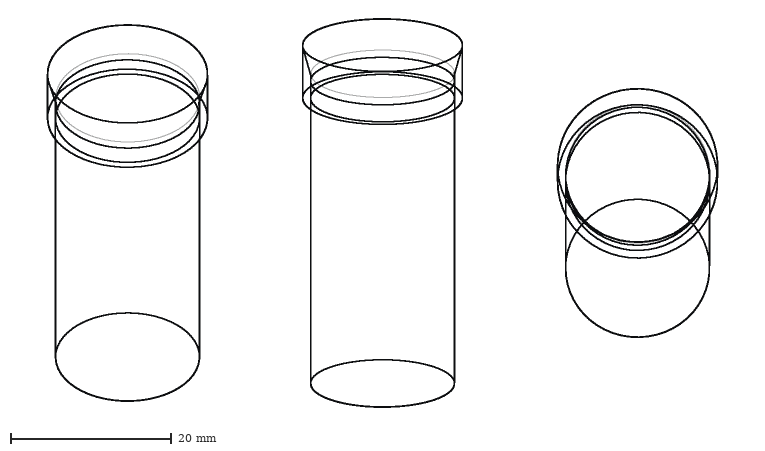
import cadquery as cq

rod_radius = 9.0
rod_length = 40.0

collar_radius = 10.0
collar_height = 7.0
total_height = 44.75
collar_bottom = total_height - collar_height

flare_depth = 3.75
flare_bottom = total_height - flare_depth


def make_rod():
    """Plain round rod standing on the XY plane."""
    return cq.Workplane("XY").circle(rod_radius).extrude(rod_length)


def make_collar():
    """Ring whose straight bore fits the rod, with a conical mouth above the bore."""
    profile = (
        cq.Workplane("XZ")
        .moveTo(rod_radius, collar_bottom)
        .lineTo(collar_radius, collar_bottom)
        .lineTo(collar_radius, total_height)
        .lineTo(rod_radius, flare_bottom)
        .close()
    )
    return profile.revolve(360, (0, 0, 0), (0, 1, 0))


rod = make_rod()
collar = make_collar()

result = cq.Compound.makeCompound([rod.val(), collar.val()])